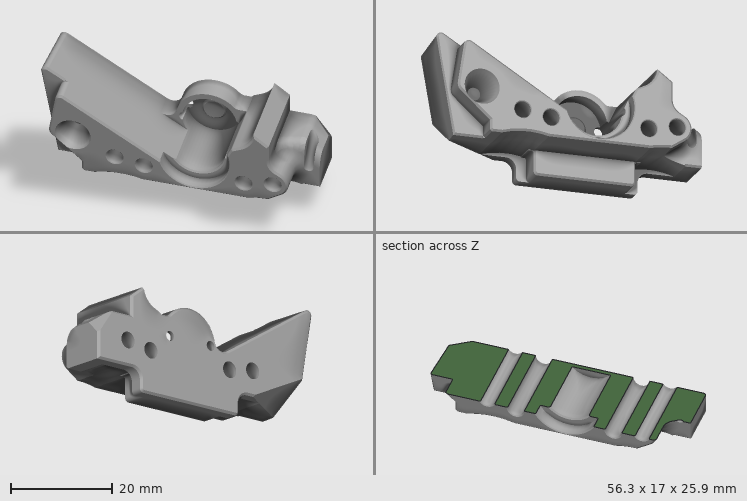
import cadquery as cq
import math

DEPTH = 17.0
BOTTOM_Z = -8.2
RIGHT_X = 23.79
RIDGE_RIGHT_X = 15.24
EDGE_CHAMFER = 0.4
BACK_CHAMFER = 0.45

BORE_RADIUS = 5.6
SLOPE_ANGLE = math.radians(31.47)
SLOPE_END_ANGLE = math.radians(52)
SLOPE_END = (-BORE_RADIUS * math.sin(SLOPE_END_ANGLE), -BORE_RADIUS * math.cos(SLOPE_END_ANGLE))

WEDGE_FRONT_Y = 4.6
WEDGE_BOTTOM_X = -29.03
WEDGE_LEFT_LEAN = math.tan(math.radians(9.9))
WEDGE_BACK_INSET = 0.75
WEDGE_TIP_RADIUS = 1.0
WEDGE_JOIN_X = -27.5
WEDGE_CUT_POINTS = [(-29.4, DEPTH, -1.95), (-28.8, 8.4, BOTTOM_Z), (-16.0, DEPTH, BOTTOM_Z)]

PLATE_TOP_X = -28.1
PLATE_ELBOW = (-29.8, 0.35)
PLATE_TAB = (-22.9, -5.85)
PLATE_TOP_RADIUS = 1.1
PLATE_ELBOW_RADIUS = 1.8

BORE_RIM_CHAMFER = 0.3
COUNTERBORE_RADIUS = 7.2
COUNTERBORE_DEPTH = 2.75
COUNTERBORE_CHAMFER = 0.2
DISC_RADIUS = 6.8
DISC_FRONT_Y = 12.0
DISH_FLOOR_Y = 16.0
DISC_SLOPE_FILLET = 2.1
DISC_WEB_FILLET = 1.5
WEB_TOP_Z = 4.17
WEB_RIGHT_X = 8.1
SEAT_LEFT_X = -10.5
PIN_DIAMETER = 5.0
PIN_END_DIAMETER = 4.2
PIN_HEIGHT = 0.5
PIN_HOLE_DIAMETER = 2.0
PIN_HOLE_OFFSET = 5.25

BORE_WALL_FOOT = (BORE_RADIUS, 0.0)
BORE_WALL_TOP = (7.6, 4.15)
BORE_WALL_RADIUS = 0.6
RIDGE_ARC = [(9.37, 5.0), (11.4, 6.8), (12.07, 8.8)]
RIDGE_SHOULDER_Z = 6.42

HOLE_DIAMETER = 3.4
HOLE_RIM_DIAMETER = 3.75
HOLE_PLACES = [(10.2, -3.95), (16.15, -3.0)]
CONE_CENTRE = (-24.7, 0.85)
CONE_MOUTH_DIAMETER = 7.3
CONE_END_DIAMETER = 2.65
CONE_DEPTH = 5.0

LUG_RADIUS = 3.05
LUG_NECK_RADIUS = 3.0
LUG_SHOULDER_ANGLE = math.radians(60)
LUG_FOOT = (13.8, BOTTOM_Z)
BLOCK_FRONT_Y = 7.3
BLOCK_TOP_Z = 2.35
BLOCK_LEFT_X = 12.0
BLOCK_EDGE_FILLET = 2.5
BLOCK_SLANT = [(20.35, BLOCK_TOP_Z), (RIGHT_X, -0.2)]
BLOCK_SLANT_FILLET = 2.6
BLOCK_CUT_LEFT_X = 18.0
BLOCK_CUT_POINTS = [(20.6, 16.6, 1.9), (RIGHT_X, 14.0, -0.2), (RIGHT_X, DEPTH, -3.0)]
LUG_BLOCK_FILLET = 2.7
SLOT_WIDTH = 2.0
SLOT_X = 21.65
SLOT_BACK = (12.3, 1.2)
SLOT_FRONT = (BLOCK_FRONT_Y, -4.3)

FOOT_BOTTOM_Z = -12.94
FOOT_FRONT_Y = 9.2
FOOT_STEP_Y = 14.15
FOOT_HALF_WIDTH = 10.6
FOOT_BACK_HALF_WIDTH = 12.7
FOOT_CORNER_RADIUS = 0.8
FOOT_ROOT_RADIUS = 2.2
FOOT_INNER_ROOT_RADIUS = 0.5
FOOT_OVERLAP = 0.6
RELIEF_Z = -7.88
RELIEF_INNER_X = 10.6
RELIEF_PEAK = (15.3, -7.35)
RELIEF_OUTER_X = 20.4

OVERSIZE = 60.0


def slope_z(x):
    """Height of the sloping top face at x."""
    return SLOPE_END[1] - math.tan(SLOPE_ANGLE) * (x - SLOPE_END[0])


def sketch(end_y, start=(0, 0)):
    """Workplane for an X-Z outline that is extruded forward from end_y."""
    return cq.Workplane("XZ", origin=(0, end_y, 0)).moveTo(*start)


def cylinder(x, z, radius, start_y, end_y):
    """Cylinder along Y between two depths."""
    return sketch(end_y, (x, z)).circle(radius).extrude(end_y - start_y)


def cone(x, z, start_radius, end_radius, start_y, end_y):
    """Truncated cone along +Y."""
    solid = cq.Solid.makeCone(
        start_radius, end_radius, end_y - start_y, cq.Vector(x, start_y, z), cq.Vector(0, 1, 0)
    )
    return cq.Workplane(solid)


def half_space(points, outward):
    """Large block on the outward side of the plane through three points."""
    first, second, third = [cq.Vector(*point) for point in points]
    normal = (second - first).cross(third - first)
    if normal.dot(cq.Vector(*outward)) < 0:
        normal = normal * -1
    plane = cq.Plane(origin=first, xDir=second - first, normal=normal)
    return cq.Workplane(plane).rect(OVERSIZE, OVERSIZE).extrude(OVERSIZE)


def upright_edges(x, z):
    """Selector for the Y-parallel edges near (x, z)."""
    reach = 0.05
    return cq.selectors.BoxSelector(
        (x - reach, -OVERSIZE, z - reach), (x + reach, OVERSIZE, z + reach)
    )


def add_bore_and_ridge(outline):
    """Continue an outline from the slope, round the bore and over the ridge."""
    return (
        outline.lineTo(*SLOPE_END)
        .threePointArc((0, -BORE_RADIUS), BORE_WALL_FOOT)
        .lineTo(*BORE_WALL_TOP)
        .lineTo(*RIDGE_ARC[0])
        .threePointArc(RIDGE_ARC[1], RIDGE_ARC[2])
        .lineTo(RIDGE_RIGHT_X, RIDGE_SHOULDER_Z)
    )


def lug_point(angle):
    """Point on the round end of the lug."""
    hole_x, hole_z = HOLE_PLACES[1]
    return (hole_x + LUG_RADIUS * math.cos(angle), hole_z + LUG_RADIUS * math.sin(angle))


def lug_neck():
    """Corner where the lug's upper tangent meets the right side of the ridge."""
    x, z = lug_point(LUG_SHOULDER_ANGLE)
    return (RIDGE_RIGHT_X, z + (x - RIDGE_RIGHT_X) / math.tan(LUG_SHOULDER_ANGLE))


def add_lug(outline):
    """Continue an outline from the ridge round the outer right hole."""
    hole_x, hole_z = HOLE_PLACES[1]
    foot_x, foot_z = LUG_FOOT
    foot_distance = math.hypot(foot_x - hole_x, foot_z - hole_z)
    foot_angle = math.atan2(foot_z - hole_z, foot_x - hole_x)
    lower_angle = foot_angle + math.acos(LUG_RADIUS / foot_distance)
    return (
        outline.lineTo(*lug_neck())
        .lineTo(*lug_point(LUG_SHOULDER_ANGLE))
        .threePointArc(lug_point(0), lug_point(lower_angle))
        .lineTo(*LUG_FOOT)
    )


def make_front_plate():
    """Front slice of the part, with a chamfered front rim."""
    outline = sketch(WEDGE_FRONT_Y, (PLATE_TOP_X, slope_z(PLATE_TOP_X)))
    outline = add_lug(add_bore_and_ridge(outline))
    plate = (
        outline.lineTo(PLATE_TAB[0], BOTTOM_Z)
        .lineTo(*PLATE_TAB)
        .lineTo(*PLATE_ELBOW)
        .close()
        .extrude(WEDGE_FRONT_Y)
    )
    plate = plate.edges(upright_edges(PLATE_TOP_X, slope_z(PLATE_TOP_X))).fillet(PLATE_TOP_RADIUS)
    plate = plate.edges(upright_edges(*PLATE_ELBOW)).fillet(PLATE_ELBOW_RADIUS)
    plate = plate.edges(upright_edges(*lug_neck())).fillet(LUG_NECK_RADIUS)
    plate = plate.edges(upright_edges(*BORE_WALL_TOP)).fillet(BORE_WALL_RADIUS)
    plate = plate.edges(upright_edges(PLATE_TAB[0], BOTTOM_Z)).chamfer(EDGE_CHAMFER)
    plate = plate.cut(make_relief())
    return plate.faces("<Y").chamfer(EDGE_CHAMFER)


def wedge_corners(inset):
    """Corners (x, z) of the wedge's left part, starting at its sharp tip."""
    bottom_x = WEDGE_BOTTOM_X + inset
    lean = WEDGE_LEFT_LEAN
    steepness = math.tan(SLOPE_ANGLE)
    tip_z = (slope_z(bottom_x) - steepness * lean * BOTTOM_Z) / (1 - steepness * lean)
    tip_x = bottom_x - lean * (tip_z - BOTTOM_Z)
    return [
        (tip_x, tip_z),
        (WEDGE_JOIN_X, slope_z(WEDGE_JOIN_X)),
        (PLATE_TAB[0], BOTTOM_Z),
        (bottom_x, BOTTOM_Z),
    ]


def wedge_end(y, inset):
    """Outline of the wedge's left part on the plane at y."""
    corners = [cq.Vector(x, y, z) for x, z in wedge_corners(inset)]
    return cq.Wire.makePolygon(corners, close=True)


def make_rear_body():
    """Wedge, bore body, ridge and disc behind the front plate."""
    ends = [wedge_end(WEDGE_FRONT_Y, 0), wedge_end(DEPTH, WEDGE_BACK_INSET)]
    wedge = cq.Workplane(cq.Solid.makeLoft(ends, True))
    main = add_bore_and_ridge(sketch(DEPTH, (WEDGE_JOIN_X, slope_z(WEDGE_JOIN_X))))
    main = (
        main.lineTo(RIDGE_RIGHT_X, BOTTOM_Z)
        .lineTo(PLATE_TAB[0], BOTTOM_Z)
        .close()
        .extrude(DEPTH - WEDGE_FRONT_Y)
    )
    main = main.edges(upright_edges(*BORE_WALL_TOP)).fillet(BORE_WALL_RADIUS)
    tip_x, tip_z = wedge_corners(WEDGE_BACK_INSET)[0]
    tip_edge = cq.selectors.NearestToPointSelector((tip_x, (WEDGE_FRONT_Y + DEPTH) / 2, tip_z))
    wedge = wedge.edges(tip_edge).fillet(WEDGE_TIP_RADIUS)
    join_x = (WEDGE_JOIN_X + PLATE_TAB[0]) / 2
    join_middle = (join_x, WEDGE_FRONT_Y, (slope_z(WEDGE_JOIN_X) + BOTTOM_Z) / 2)
    join_edge = wedge.edges(cq.selectors.NearestToPointSelector(join_middle)).val()
    front_rim = wedge.faces("<Y").edges().filter(lambda edge: not edge.isSame(join_edge))
    return front_rim.chamfer(EDGE_CHAMFER).union(main)


def make_disc():
    """Disc behind the bore, joined to the slope by a seat and to the ridge by a web."""
    thickness = DEPTH - DISC_FRONT_Y
    disc = cylinder(0, 0, DISC_RADIUS, DISC_FRONT_Y, DEPTH)
    web = (
        sketch(DEPTH)
        .lineTo(0, WEB_TOP_Z)
        .lineTo(WEB_RIGHT_X, WEB_TOP_Z)
        .lineTo(WEB_RIGHT_X, 0)
        .close()
        .extrude(thickness)
    )
    seat = (
        sketch(DEPTH, (SEAT_LEFT_X, slope_z(SEAT_LEFT_X)))
        .lineTo(*SLOPE_END)
        .lineTo(SLOPE_END[0], -DISC_RADIUS)
        .lineTo(SEAT_LEFT_X, -DISC_RADIUS)
        .close()
        .extrude(thickness)
    )
    disc = disc.union(web).union(seat)
    slope_distance = -slope_z(0) * math.cos(SLOPE_ANGLE)
    half_chord = math.sqrt(DISC_RADIUS**2 - slope_distance**2)
    seat_x = -slope_distance * math.sin(SLOPE_ANGLE) - half_chord * math.cos(SLOPE_ANGLE)
    disc = disc.edges(upright_edges(seat_x, slope_z(seat_x))).fillet(DISC_SLOPE_FILLET)
    web_x = math.sqrt(DISC_RADIUS**2 - WEB_TOP_Z**2)
    return disc.edges(upright_edges(web_x, WEB_TOP_Z)).fillet(DISC_WEB_FILLET)


def make_right_end():
    """Lug blended into the front of the block, under the block's sloping top."""
    lug = add_lug(sketch(BLOCK_FRONT_Y, (RIDGE_RIGHT_X, RIDGE_SHOULDER_Z)))
    lug = (
        lug.lineTo(BLOCK_LEFT_X, BOTTOM_Z)
        .lineTo(BLOCK_LEFT_X, RIDGE_SHOULDER_Z)
        .close()
        .extrude(BLOCK_FRONT_Y - EDGE_CHAMFER)
    )
    lug = lug.edges(upright_edges(*lug_neck())).fillet(LUG_NECK_RADIUS)
    block = (
        sketch(DEPTH, (BLOCK_LEFT_X, BOTTOM_Z))
        .lineTo(BLOCK_LEFT_X, RIDGE_SHOULDER_Z)
        .lineTo(RIGHT_X, RIDGE_SHOULDER_Z)
        .lineTo(RIGHT_X, BOTTOM_Z)
        .close()
        .extrude(DEPTH - BLOCK_FRONT_Y)
    )
    block = block.union(lug)
    margin = 0.1
    junction = cq.selectors.BoxSelector(
        (BLOCK_LEFT_X + margin, BLOCK_FRONT_Y - margin, BOTTOM_Z + margin),
        (RIGHT_X - margin, BLOCK_FRONT_Y + margin, RIDGE_SHOULDER_Z - margin),
    )
    block = block.edges(junction).fillet(LUG_BLOCK_FILLET)
    top = (
        sketch(DEPTH, (BLOCK_LEFT_X, BOTTOM_Z))
        .lineTo(BLOCK_LEFT_X, BLOCK_TOP_Z)
        .lineTo(*BLOCK_SLANT[0])
        .lineTo(*BLOCK_SLANT[1])
        .lineTo(RIGHT_X, BOTTOM_Z)
        .close()
        .extrude(DEPTH)
    )
    top = top.edges(upright_edges(*BLOCK_SLANT[0])).fillet(BLOCK_SLANT_FILLET)
    block = block.intersect(top)
    rounded_place = (BLOCK_SLANT[0][0], BLOCK_FRONT_Y, BLOCK_TOP_Z)
    rounded_edge = cq.selectors.NearestToPointSelector(rounded_place)
    return block.edges(rounded_edge).fillet(BLOCK_EDGE_FILLET)


def make_foot_part(half_width, base_z, root_radius, front_y, end_y, chamfered_face, chamfer):
    """Bar below the body with rounded roots, rounded corners and one chamfered end face."""
    side = half_width + root_radius + FOOT_OVERLAP
    overlap_z = base_z + FOOT_OVERLAP
    part = (
        sketch(end_y, (-side, overlap_z))
        .lineTo(-side, base_z)
        .lineTo(-half_width, base_z)
        .lineTo(-half_width, FOOT_BOTTOM_Z)
        .lineTo(half_width, FOOT_BOTTOM_Z)
        .lineTo(half_width, base_z)
        .lineTo(side, base_z)
        .lineTo(side, overlap_z)
        .close()
        .extrude(end_y - front_y)
    )
    for x in (-half_width, half_width):
        part = part.edges(upright_edges(x, FOOT_BOTTOM_Z)).fillet(FOOT_CORNER_RADIUS)
        part = part.edges(upright_edges(x, base_z)).fillet(root_radius)
    rim = part.faces(chamfered_face).edges().filter(lambda edge: edge.Center().z < base_z - 0.01)
    return rim.chamfer(chamfer)


def make_foot():
    """Wide flange at the back and a narrower step in front of it."""
    flange = make_foot_part(
        FOOT_BACK_HALF_WIDTH, BOTTOM_Z, FOOT_ROOT_RADIUS, FOOT_STEP_Y, DEPTH, ">Y", BACK_CHAMFER
    )
    step = make_foot_part(
        FOOT_HALF_WIDTH, RELIEF_Z, FOOT_INNER_ROOT_RADIUS, FOOT_FRONT_Y, FOOT_STEP_Y, "<Y", EDGE_CHAMFER
    )
    return flange.union(step)


def make_relief():
    """Shallow arched cut under the body in front of the wide part of the foot."""
    peak_x, peak_z = RELIEF_PEAK
    return (
        sketch(FOOT_STEP_Y, (-RELIEF_OUTER_X, BOTTOM_Z))
        .threePointArc((-peak_x, peak_z), (-RELIEF_INNER_X, RELIEF_Z))
        .lineTo(RELIEF_INNER_X, RELIEF_Z)
        .threePointArc((peak_x, peak_z), (RELIEF_OUTER_X, BOTTOM_Z))
        .close()
        .extrude(FOOT_STEP_Y)
    )


def make_counterbore():
    """Counterbore with a chamfered mouth, and the chamfered rim of the bore behind it."""
    mouth = COUNTERBORE_RADIUS + COUNTERBORE_CHAMFER
    rim_end = COUNTERBORE_DEPTH + BORE_RIM_CHAMFER
    return (
        cylinder(0, 0, COUNTERBORE_RADIUS, 0, COUNTERBORE_DEPTH)
        .union(cone(0, 0, mouth, COUNTERBORE_RADIUS, 0, COUNTERBORE_CHAMFER))
        .union(cone(0, 0, BORE_RADIUS + BORE_RIM_CHAMFER, BORE_RADIUS, COUNTERBORE_DEPTH, rim_end))
    )


def make_dish():
    """Recess in the disc that leaves a low chamfered pin standing on its floor."""
    pin_radius = PIN_DIAMETER / 2
    pin_end_radius = PIN_END_DIAMETER / 2
    pin_front_y = DISH_FLOOR_Y - PIN_HEIGHT
    chamfer_end_y = pin_front_y + pin_radius - pin_end_radius
    pin = cylinder(0, 0, pin_radius, chamfer_end_y, DISH_FLOOR_Y)
    pin = pin.union(cone(0, 0, pin_end_radius, pin_radius, pin_front_y, chamfer_end_y))
    return cylinder(0, 0, BORE_RADIUS, DISC_FRONT_Y, DISH_FLOOR_Y).cut(pin)


def make_holes():
    """All through holes and the conical recess."""
    radius = HOLE_DIAMETER / 2
    rim_radius = HOLE_RIM_DIAMETER / 2
    cone_x, cone_z = CONE_CENTRE
    cutters = cone(cone_x, cone_z, CONE_MOUTH_DIAMETER / 2, CONE_END_DIAMETER / 2, 0, CONE_DEPTH)
    for side in (-1, 1):
        cutters = cutters.union(cylinder(side * PIN_HOLE_OFFSET, 0, PIN_HOLE_DIAMETER / 2, 0, DEPTH))
        for x, z in HOLE_PLACES:
            cutters = cutters.union(cylinder(side * x, z, radius, 0, DEPTH))
            cutters = cutters.union(cone(side * x, z, rim_radius, radius, 0, rim_radius - radius))
    return cutters


def make_slot():
    """Round-floored slot that slopes down from the block's top to its front."""
    radius = SLOT_WIDTH / 2
    back_y, back_z = SLOT_BACK
    front_y, front_z = SLOT_FRONT
    direction = cq.Vector(0, front_y - back_y, front_z - back_z)
    start = cq.Vector(SLOT_X, back_y, back_z) - direction
    length = 3 * direction.Length
    plane = cq.Plane(origin=start, xDir=(1, 0, 0), normal=direction)
    floor = cq.Workplane(plane).center(0, radius).circle(radius).extrude(length)
    opening_height = 4 * SLOT_WIDTH
    opening = cq.Workplane(plane).center(0, radius + opening_height / 2)
    return floor.union(opening.rect(SLOT_WIDTH, opening_height).extrude(length))


def is_ridge_hollow(edge):
    """True for the back edges on the hollow left side of the ridge."""
    middle = edge.Center()
    return BORE_WALL_TOP[0] < middle.x < RIDGE_ARC[2][0] and middle.z > WEB_TOP_Z


def make_block_corner_cut():
    """Slanted cut off the block's upper back corner, kept clear of the ridge."""
    size = OVERSIZE / 2
    limit = cq.Workplane(cq.Solid.makeBox(size, size, size, cq.Vector(BLOCK_CUT_LEFT_X, 0, BOTTOM_Z)))
    return half_space(BLOCK_CUT_POINTS, (1, 1, 1)).intersect(limit)


body = make_rear_body().union(make_disc()).union(make_right_end())
back_rim = body.faces(">Y").edges().filter(lambda edge: not is_ridge_hollow(edge))
body = back_rim.chamfer(BACK_CHAMFER)
body = body.cut(half_space(WEDGE_CUT_POINTS, (-1, 1, -1)))
body = body.cut(make_block_corner_cut()).cut(make_relief())
bottom_edge_place = ((RELIEF_OUTER_X + RIGHT_X) / 2, BLOCK_FRONT_Y, BOTTOM_Z)
body = body.edges(cq.selectors.NearestToPointSelector(bottom_edge_place)).chamfer(EDGE_CHAMFER)
result = body.union(make_front_plate()).union(make_foot())
for cutter in (make_counterbore(), make_dish(), make_holes(), make_slot()):
    result = result.cut(cutter)
result = result.clean()